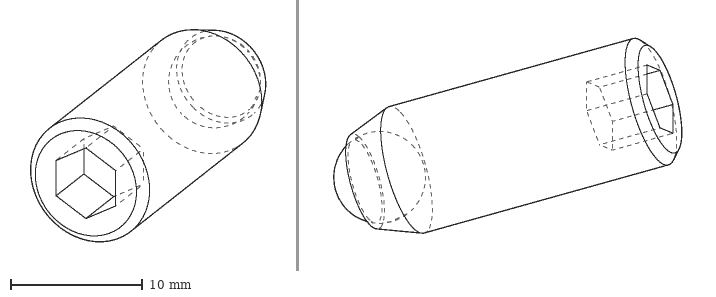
import cadquery as cq
import math

overall_length = 26.7

screw_diameter = 10.0
screw_length = 24.4
chamfer = 0.75
nose_diameter = 7.5
nose_half_angle = 20.0

socket_across_flats = 5.0
socket_depth = 5.0

ball_diameter = 7.0

screw_radius = screw_diameter / 2
nose_radius = nose_diameter / 2
nose_length = (screw_radius - nose_radius) / math.tan(math.radians(nose_half_angle))
socket_across_corners = socket_across_flats / math.cos(math.radians(30))
ball_center_y = overall_length - ball_diameter / 2


def make_ball():
    """Full ball centred on the screw axis, standing out of the nose."""
    return cq.Workplane("XY").sphere(ball_diameter / 2).translate((0, ball_center_y, 0))


def make_screw_blank():
    """Turned shank with a chamfered socket end and a conical nose."""
    half_profile = (
        cq.Workplane("XY")
        .moveTo(0, 0)
        .lineTo(screw_radius - chamfer, 0)
        .lineTo(screw_radius, chamfer)
        .lineTo(screw_radius, screw_length - nose_length)
        .lineTo(nose_radius, screw_length)
        .lineTo(0, screw_length)
        .close()
    )
    return half_profile.revolve(360, (0, 0, 0), (0, 1, 0))


def make_hex_socket():
    """Hexagonal prism with two corners on the vertical Z line."""
    return (
        cq.Workplane("XZ")
        .transformed(rotate=(0, 0, 90))
        .polygon(6, socket_across_corners)
        .extrude(-socket_depth)
    )


def make_screw():
    """Screw blank with the drive socket and the ball seat cut out."""
    return make_screw_blank().cut(make_hex_socket()).cut(make_ball())


screw = make_screw()
ball = make_ball()

result = cq.Compound.makeCompound([screw.val(), ball.val()])